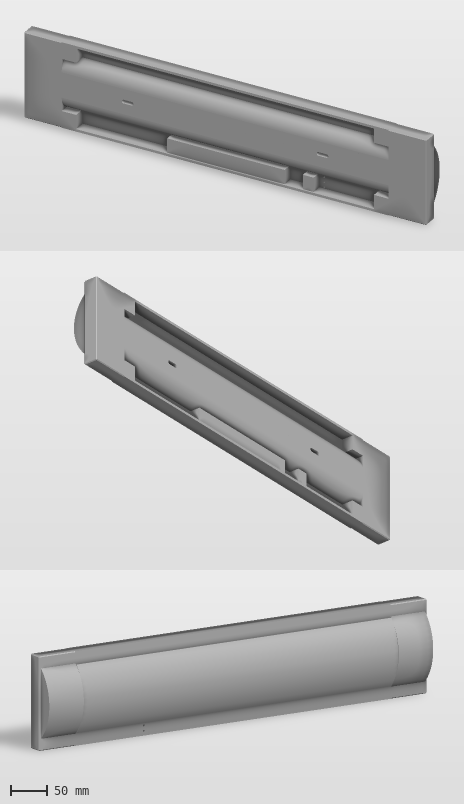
import cadquery as cq
import math

length = 639.0
depth = 43.5
width = 134.0

base_depth = 22.5
cap_length = 60.0
cap_chamfer = 1.0
arm_length = 23.0
arm_gap_half = 41.0
cap_dome_setback = 3.0
cap_dome_half_width = 50.0

wall = 4.0
platform_flat_half = 20.0
shoulder_radius = 21.0
slot_length = 18.5
slot_width = 6.0
slot_spacing = 309.0

ballast_length = 186.5
terminal_length = 17.0
terminal_start = 122.0
block_setback = 2.5
wire_hole_diameter = 3.0
wire_hole_count = 3
wire_hole_pitch = 7.5
wire_hole_x = 147.0
first_wire_hole_z = -45.5

diffuser_inset = 1.0
rim_height = 2.5

housing_length = length - 2 * cap_length
channel_half = width / 2 - wall
platform_height = base_depth - wall
shoulder_angle = math.acos(1 - platform_height / shoulder_radius)
block_depth = base_depth - block_setback
strip_width = channel_half - arm_gap_half
strip_z = (channel_half + arm_gap_half) / 2


def box(x_start, x_size, y_start, y_size, z_center, z_size):
    """Box placed by its low X and Y sides and centred on z_center."""
    return cq.Workplane("XY").box(x_size, y_size, z_size, centered=(False, False, True)).translate(
        (x_start, y_start, z_center)
    )


def extrude_along_x(profile, x_start, x_size):
    """Extrude a profile drawn in (Y, Z) coordinates along +X."""
    return profile.extrude(x_size).translate((x_start, 0, 0))


def make_channel():
    """U-shaped channel with side walls along its two long edges."""
    outer = box(-housing_length / 2, housing_length, 0, base_depth, 0, width)
    hollow = box(-housing_length / 2, housing_length, 0, platform_height, 0, 2 * channel_half)
    return outer.cut(hollow)


def shoulder_point(angle):
    """(Y, Z) of the upper shoulder after turning by an angle from the flat top."""
    return shoulder_radius * (1 - math.cos(angle)), platform_flat_half + shoulder_radius * math.sin(angle)


def make_platform():
    """Flat platform with rounded shoulders that run down to the channel floor."""
    middle_y, middle_z = shoulder_point(shoulder_angle / 2)
    foot_y, foot_z = shoulder_point(shoulder_angle)
    profile = (
        cq.Workplane("YZ")
        .moveTo(0, -platform_flat_half)
        .lineTo(0, platform_flat_half)
        .threePointArc((middle_y, middle_z), (foot_y, foot_z))
        .lineTo(base_depth, foot_z)
        .lineTo(base_depth, -foot_z)
        .lineTo(foot_y, -foot_z)
        .threePointArc((middle_y, -middle_z), (0, -platform_flat_half))
        .close()
    )
    return extrude_along_x(profile, -housing_length / 2, housing_length)


def make_mounting_slots():
    """Cutters for the two slots through the platform."""
    return (
        cq.Workplane("XZ")
        .pushPoints([(-slot_spacing / 2, 0), (slot_spacing / 2, 0)])
        .slot2D(slot_length, slot_width)
        .extrude(-base_depth)
    )


def make_wire_holes():
    """Cutters for a row of small holes through the channel floor."""
    centers = [(wire_hole_x, first_wire_hole_z - i * wire_hole_pitch) for i in range(wire_hole_count)]
    return cq.Workplane("XZ").pushPoints(centers).circle(wire_hole_diameter / 2).extrude(-base_depth)


def make_housing():
    ballast = box(-ballast_length / 2, ballast_length, block_setback, block_depth, -strip_z, strip_width)
    terminal = box(terminal_start, terminal_length, block_setback, block_depth, -strip_z, strip_width)
    housing = make_channel().union(make_platform()).union(ballast).union(terminal)
    return housing.cut(make_mounting_slots()).cut(make_wire_holes())


def make_diffuser():
    """Domed cover on the back of the housing, with a straight rim along each edge."""
    half = cap_dome_half_width - diffuser_inset
    rim_y = base_depth + rim_height
    profile = (
        cq.Workplane("YZ")
        .moveTo(base_depth, -half)
        .lineTo(rim_y, -half)
        .threePointArc((depth - diffuser_inset, 0), (rim_y, half))
        .lineTo(base_depth, half)
        .close()
    )
    return extrude_along_x(profile, -housing_length / 2, housing_length)


def make_cap(end):
    """Left (-1) or right (1) end cap: chamfered base, two arms in the channel, domed back."""
    cap = box(-length / 2, cap_length, 0, base_depth, 0, width)
    cap = cap.edges("|X or <X").chamfer(cap_chamfer)
    for side in (-1, 1):
        arm = box(-housing_length / 2, arm_length, 0, platform_height, side * strip_z, strip_width)
        cap = cap.union(arm)
    dome_profile = (
        cq.Workplane("YZ")
        .moveTo(base_depth, -cap_dome_half_width)
        .threePointArc((depth, 0), (base_depth, cap_dome_half_width))
        .close()
    )
    dome = extrude_along_x(dome_profile, cap_dome_setback - length / 2, cap_length - cap_dome_setback)
    left_cap = cap.union(dome)
    return left_cap if end < 0 else left_cap.mirror("YZ")


housing = make_housing()
diffuser = make_diffuser()
caps = [make_cap(end) for end in (-1, 1)]

result = cq.Compound.makeCompound([housing.val(), diffuser.val(), *[cap.val() for cap in caps]])